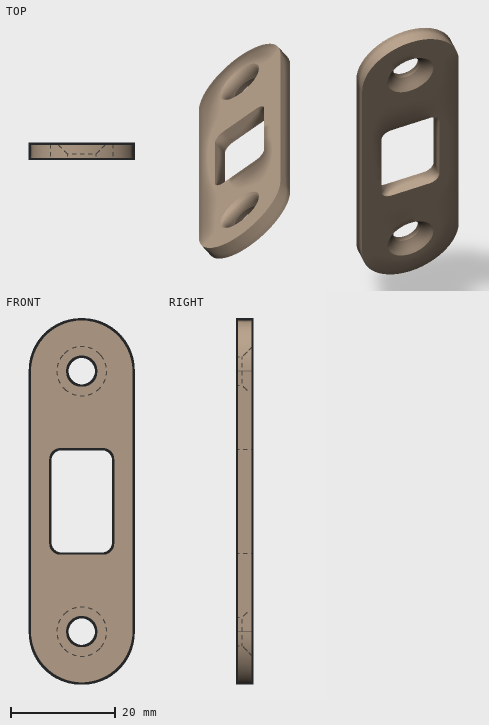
import cadquery as cq

plate_width = 20.0
plate_height = 70.0
plate_thickness = 3.0

hole_diameter = 5.5
hole_spacing = plate_height - plate_width

countersink_angle = 90.0
countersink_diameter = 9.5

window_width = 12.0
window_height = 20.0
window_corner_radius = 2.0


def make_plate():
    """Stadium-shaped plate centred on the origin."""
    return (
        cq.Workplane("XZ")
        .slot2D(plate_height, plate_width, 90)
        .extrude(plate_thickness / 2, both=True)
    )


def cut_screw_holes(body):
    """Countersunk through holes at the centres of the two rounded ends."""
    return (
        body.faces(">Y")
        .workplane(origin=(0, plate_thickness / 2, 0))
        .rarray(1, hole_spacing, 1, 2)
        .cskHole(hole_diameter, countersink_diameter, countersink_angle)
    )


def make_window():
    """Solid of the rectangular through opening with rounded corners."""
    return (
        cq.Workplane("XZ")
        .rect(window_width, window_height)
        .extrude(plate_thickness / 2, both=True)
        .edges("|Y")
        .fillet(window_corner_radius)
    )


plate = make_plate()
plate = cut_screw_holes(plate)
result = plate.cut(make_window())